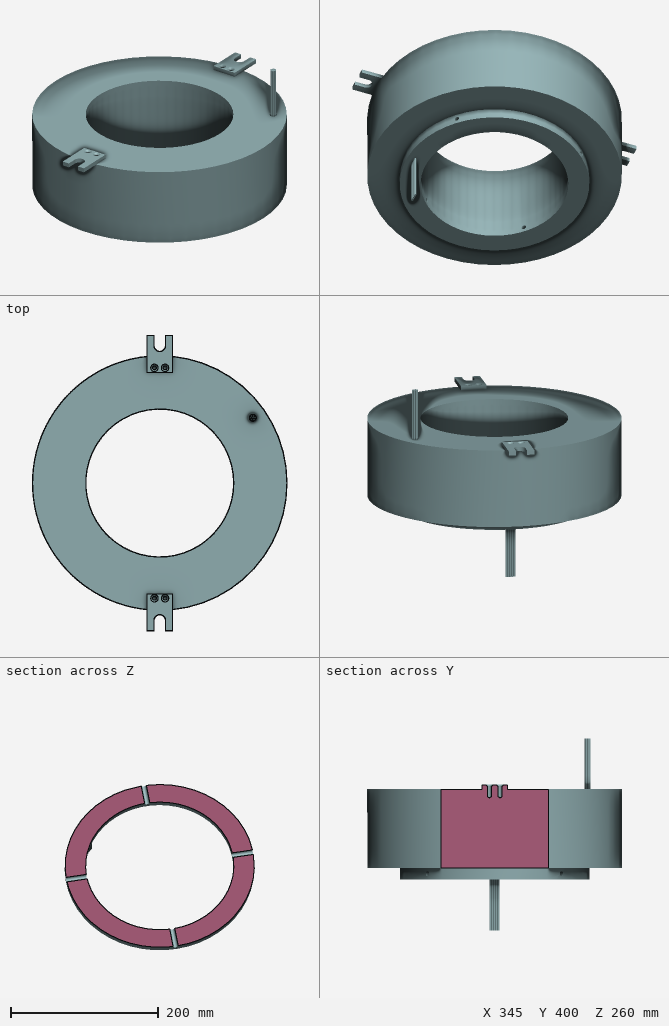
import cadquery as cq
import math

body_diameter = 345.0
bore_diameter = 200.0
body_height = 107.0
flange_diameter = 257.0
flange_height = 15.5
body_top = flange_height + body_height

flange_hole_diameter = 6.5
flange_hole_z = flange_height / 2
flange_hole_angles = (45, 135, 225, 315)

lug_tip_radius = 200.0
lug_length = 50.0
lug_width = 35.0
lug_thickness = 6.0
slot_width = 15.0
slot_depth = 21.5
screw_spacing = 14.5
screw_edge_distance = 6.0
screw_hole_diameter = 5.0
countersink_diameter = 10.0
countersink_angle = 90
screw_hole_depth = 16.0
screw_tip_angle = 118

overall_height = 260.0
wire_diameter = 2.7
wire_pitch = 3.0
lower_wire_length = 69.0
lower_wire_count = 5
lower_wire_y = 117.5
upper_wire_length = overall_height - lower_wire_length - body_top
bundle_radius = 154.0
bundle_angle = 35
bundle_outer_wires = 6
lead_hole_diameter = 9.5
lead_hole_depth = 6.0


def polar_point(radius, angle):
    """Return the XY point at a radius and an angle in degrees."""
    return (radius * math.cos(math.radians(angle)), radius * math.sin(math.radians(angle)))


def make_ring():
    """Body and flange with the common bore through both."""
    flange = cq.Workplane("XY").circle(flange_diameter / 2).extrude(flange_height)
    body = (
        cq.Workplane("XY", origin=(0, 0, flange_height))
        .circle(body_diameter / 2)
        .extrude(body_height)
    )
    bore = cq.Workplane("XY").circle(bore_diameter / 2).extrude(body_top)
    return flange.union(body).cut(bore)


def make_flange_hole(angle):
    """Radial cutter from the axis outwards through the flange wall."""
    return (
        cq.Workplane("YZ", origin=(0, 0, flange_hole_z))
        .circle(flange_hole_diameter / 2)
        .extrude(flange_diameter)
        .rotate((0, 0, 0), (0, 0, 1), angle)
    )


def make_lug():
    """Lug on the +Y side with an open slot at its tip."""
    slot_arc_y = lug_tip_radius - slot_depth + slot_width / 2
    plate = (
        cq.Workplane("XY", origin=(0, lug_tip_radius - lug_length / 2, body_top))
        .rect(lug_width, lug_length)
        .extrude(lug_thickness)
    )
    slot = (
        cq.Workplane("XY", origin=(0, 0, body_top))
        .moveTo(-slot_width / 2, lug_tip_radius)
        .lineTo(-slot_width / 2, slot_arc_y)
        .threePointArc((0, lug_tip_radius - slot_depth), (slot_width / 2, slot_arc_y))
        .lineTo(slot_width / 2, lug_tip_radius)
        .close()
        .extrude(lug_thickness)
    )
    return plate.cut(slot)


def make_screw_hole(x):
    """Countersunk blind cutter with a drill tip, through the +Y lug into the body."""
    top_z = body_top + lug_thickness
    floor_z = top_z - screw_hole_depth
    hole_radius = screw_hole_diameter / 2
    sink_radius = countersink_diameter / 2
    sink_depth = (sink_radius - hole_radius) / math.tan(math.radians(countersink_angle / 2))
    tip_depth = hole_radius / math.tan(math.radians(screw_tip_angle / 2))
    half_section = [
        (0, top_z),
        (sink_radius, top_z),
        (hole_radius, top_z - sink_depth),
        (hole_radius, floor_z),
        (0, floor_z - tip_depth),
    ]
    return (
        cq.Workplane("XZ")
        .polyline(half_section)
        .close()
        .revolve(360, (0, 0, 0), (0, 1, 0))
        .translate((x, lug_tip_radius - lug_length + screw_edge_distance, 0))
    )


def make_wires(points, start_z, length):
    """Vertical wires at the given XY points; a negative length runs downwards."""
    return (
        cq.Workplane("XY", origin=(0, 0, start_z))
        .pushPoints(points)
        .circle(wire_diameter / 2)
        .extrude(length)
    )


def bundle_points():
    """One central wire with a ring of wires packed around it."""
    center_x, center_y = polar_point(bundle_radius, bundle_angle)
    points = [(center_x, center_y)]
    for index in range(bundle_outer_wires):
        offset_x, offset_y = polar_point(wire_pitch, index * 360 / bundle_outer_wires)
        points.append((center_x + offset_x, center_y + offset_y))
    return points


def row_points():
    """Straight row of wires along X, centred on the YZ plane."""
    first_x = -wire_pitch * (lower_wire_count - 1) / 2
    return [(first_x + index * wire_pitch, lower_wire_y) for index in range(lower_wire_count)]


result = make_ring()
for hole_angle in flange_hole_angles:
    result = result.cut(make_flange_hole(hole_angle))

for lug_angle in (0, 180):
    result = result.union(make_lug().rotate((0, 0, 0), (0, 0, 1), lug_angle))
    for screw_x in (-screw_spacing / 2, screw_spacing / 2):
        result = result.cut(make_screw_hole(screw_x).rotate((0, 0, 0), (0, 0, 1), lug_angle))

lead_hole_floor = body_top - lead_hole_depth
lead_hole = (
    cq.Workplane("XY", origin=(0, 0, lead_hole_floor))
    .center(*polar_point(bundle_radius, bundle_angle))
    .circle(lead_hole_diameter / 2)
    .extrude(lead_hole_depth)
)
result = result.cut(lead_hole)
result = result.union(make_wires(bundle_points(), lead_hole_floor, lead_hole_depth + upper_wire_length))
result = result.union(make_wires(row_points(), 0, -lower_wire_length))